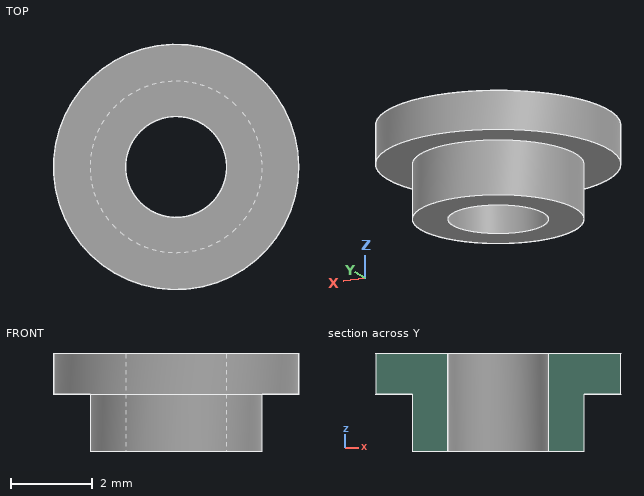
import cadquery as cq

flange_diameter = 6.0
flange_thickness = 1.0
sleeve_diameter = 4.2
bore_diameter = 2.46
total_height = 2.4
sleeve_length = total_height - flange_thickness


def ring(outer_diameter, height, base_z):
    """Bored cylinder standing on the plane z = base_z."""
    return (
        cq.Workplane("XY", origin=(0, 0, base_z))
        .circle(outer_diameter / 2)
        .circle(bore_diameter / 2)
        .extrude(height)
    )


sleeve = ring(sleeve_diameter, sleeve_length, 0)
flange = ring(flange_diameter, flange_thickness, sleeve_length)

result = sleeve.union(flange, clean=True)